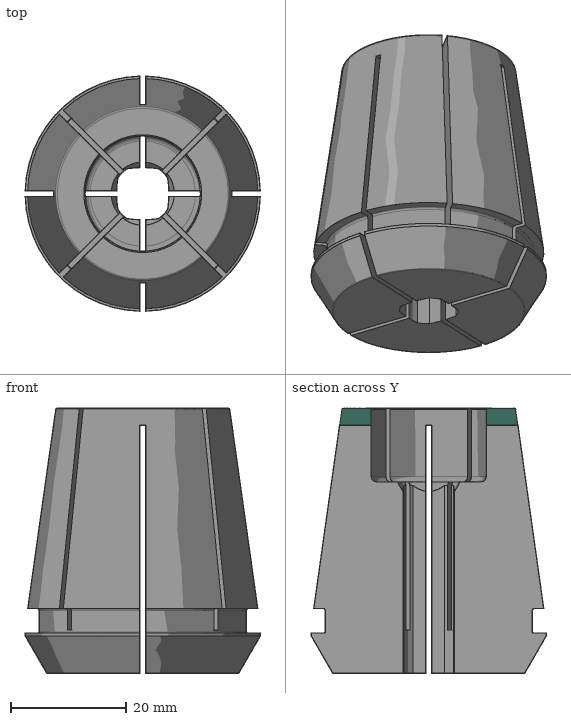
import cadquery as cq
import math

height = 46.0
flange_diameter = 40.8
flange_top_z = 7.0
flange_rim_width = 0.5
nose_angle = math.radians(30)

groove_radius = 18.0
taper_base_z = 11.22
groove_top_fillet = 0.35
groove_bottom_fillet = 0.2

taper_base_radius = 19.95
taper_angle = math.radians(8)
top_fillet = 0.3
nose_fillet = 0.2

bore_radius = 10.0
bore_floor_z = 33.2
bore_floor_fillet = 0.87
bore_mouth_chamfer = 0.25

lead_in_radius = 5.47
lead_in_angle = math.radians(30)
square_width = 9.0
side_bow = 0.45
square_corner_radius = 5.1

slot_width = 0.95
slot_count = 4
slot_pitch = 360 / slot_count
rising_slot_top_z = 43.0
falling_slot_floor_z = 7.5

flange_radius = flange_diameter / 2
flange_rim_z = flange_top_z - flange_rim_width
nose_radius = flange_radius - flange_rim_z * math.tan(nose_angle)
top_radius = taper_base_radius - (height - taper_base_z) * math.tan(taper_angle)


def circle_at(radius, z):
    """Select the circular edge of this radius at this height."""
    margin = 0.005
    reach = radius + margin
    return cq.selectors.BoxSelector(
        (-reach, -reach, z - margin), (reach, reach, z + margin), boundingbox=True
    )


def make_body():
    """Solid of revolution: nose cone, flange, groove and long taper."""
    outline = [
        (0, 0),
        (nose_radius, 0),
        (flange_radius, flange_rim_z),
        (flange_radius, flange_top_z),
        (groove_radius, flange_top_z),
        (groove_radius, taper_base_z),
        (taper_base_radius, taper_base_z),
        (top_radius, height),
        (0, height),
    ]
    body = cq.Workplane("XZ").polyline(outline).close().revolve(360, (0, 0, 0), (0, 1, 0))
    body = body.edges(circle_at(nose_radius, 0)).fillet(nose_fillet)
    body = body.edges(circle_at(groove_radius, flange_top_z)).fillet(groove_bottom_fillet)
    body = body.edges(circle_at(groove_radius, taper_base_z)).fillet(groove_top_fillet)
    return body.edges(circle_at(top_radius, height)).fillet(top_fillet)


def make_bore():
    """Wide upper bore with a rounded floor and a chamfered mouth."""
    depth = height - bore_floor_z
    bore = cq.Workplane("XY").workplane(offset=bore_floor_z).circle(bore_radius).extrude(depth)
    bore = bore.faces("<Z").edges().fillet(bore_floor_fillet)
    mouth = cq.Solid.makeCone(
        bore_radius,
        bore_radius + bore_mouth_chamfer,
        bore_mouth_chamfer,
        pnt=cq.Vector(0, 0, height - bore_mouth_chamfer),
    )
    return bore.union(cq.Workplane(mouth))


def make_drive_hole():
    """Through square with bowed sides and round corners, opening into a cone at the bore floor."""
    half = square_width / 2
    inset = half - side_bow
    square = (
        cq.Workplane("XY")
        .moveTo(inset, -inset)
        .threePointArc((half, 0), (inset, inset))
        .threePointArc((0, half), (-inset, inset))
        .threePointArc((-half, 0), (-inset, -inset))
        .threePointArc((0, -half), (inset, -inset))
        .close()
        .extrude(bore_floor_z)
    )
    corners = cq.Workplane("XY").circle(square_corner_radius).extrude(bore_floor_z)
    depth = (lead_in_radius - inset) / math.tan(lead_in_angle)
    lead_in = cq.Solid.makeCone(
        inset, lead_in_radius, depth, pnt=cq.Vector(0, 0, bore_floor_z - depth)
    )
    return square.intersect(corners).union(cq.Workplane(lead_in))


def make_slot_pair(bottom_z, top_z, angle):
    """Blade across the full diameter, cutting two opposite radial slots."""
    return (
        cq.Workplane("XY")
        .workplane(offset=bottom_z)
        .rect(2 * flange_radius + slot_width, slot_width)
        .extrude(top_z - bottom_z)
        .rotate((0, 0, 0), (0, 0, 1), angle)
    )


collet = make_body().cut(make_bore()).cut(make_drive_hole())

for pair in range(slot_count // 2):
    rising_angle = pair * slot_pitch
    falling_angle = rising_angle + slot_pitch / 2
    collet = collet.cut(make_slot_pair(0, rising_slot_top_z, rising_angle))
    collet = collet.cut(make_slot_pair(falling_slot_floor_z, height, falling_angle))

result = collet